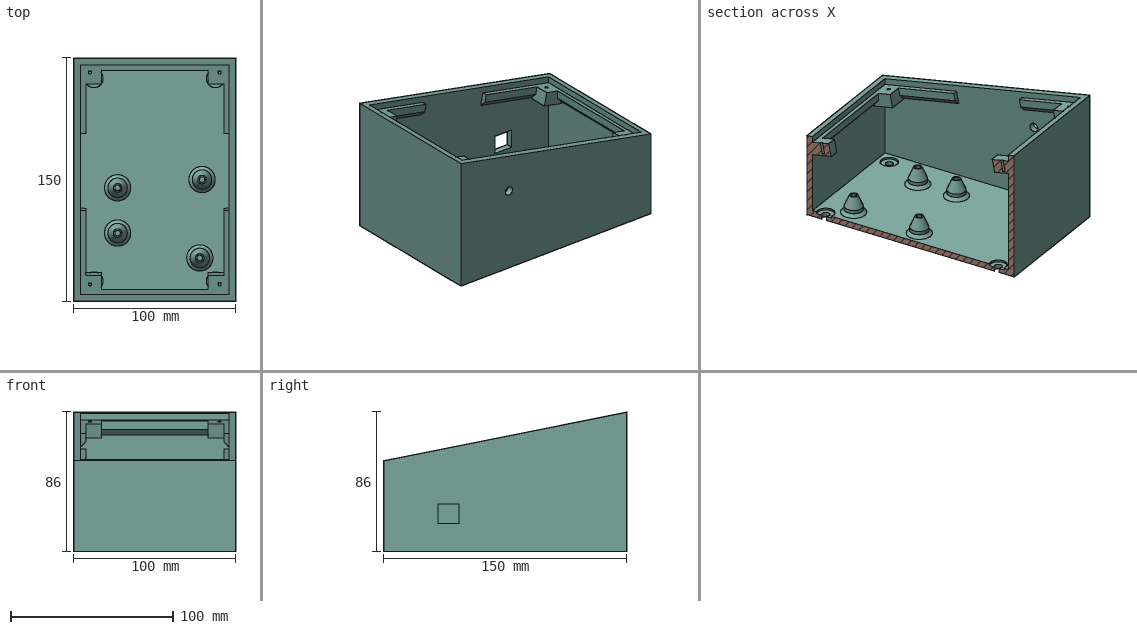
import cadquery as cq

width = 100.0
length = 150.0
rear_height = 86.0
front_height = 56.0
wall = 4.4
floor_thickness = 4.4

seat_drop = 4.0
ledge_width = 3.2
ledge_height = 5.1
ledge_taper = 3.5
side_ledge_rear_end = 29.1
side_ledge_front_end = -19.2
block_inset_x = 17.1
block_inner_end = 60.2
block_depth = 9.0
screw_hole_diameter = 2.0
screw_hole_depth = 7.5
screw_inset_x = 10.0
screw_offset = 66.6
screw_shift = 0.9

standoff_positions = [(-23.0, -5.0), (-23.0, -32.8), (29.1, 0.2), (27.8, -48.2)]
standoff_diameter = 12.0
standoff_foot = 2.1
standoff_shoulder = 4.4
standoff_height = 12.0
standoff_top_diameter = 5.2
pilot_diameter = 3.5
pilot_depth = 7.5

floor_hole_inset = 12.6
floor_hole_diameter = 5.0
counterbore_diameter = 11.2
counterbore_depth = 1.2

cable_hole_diameter = 5.5
cable_hole_y = 37.0
cable_hole_z = 54.0
port_y = -35.0
port_z = 23.4
port_length = 13.0
port_height = 12.0

slope = (rear_height - front_height) / length
mid_height = (rear_height + front_height) / 2
inner_width = width - 2 * wall
inner_length = length - 2 * wall
half_inner_width = inner_width / 2
half_inner_length = inner_length / 2
seat_plane = cq.Plane(
    origin=(0, 0, mid_height - seat_drop),
    xDir=(1, 0, 0),
    normal=(0, -slope, 1),
)


def seat_z(y):
    """Height of the lid seat at a given Y."""
    return mid_height - seat_drop + slope * y


def shell():
    """Open box with a sloped rim."""
    outline = [
        (-length / 2, 0),
        (length / 2, 0),
        (length / 2, rear_height),
        (-length / 2, front_height),
    ]
    body = cq.Workplane("YZ").polyline(outline).close().extrude(width / 2, both=True)
    cavity = (
        cq.Workplane("XY")
        .workplane(offset=floor_thickness)
        .rect(inner_width, inner_length)
        .extrude(rear_height)
    )
    return body.cut(cavity)


def ledge_section(wall_position, inward, top):
    """Ledge profile as four points: level top, upright face and an underside sloping back to the wall."""
    face = wall_position + inward * ledge_width
    return [
        (wall_position, top),
        (face, top),
        (face, top - ledge_height),
        (wall_position, top - ledge_height - ledge_taper),
    ]


def end_ledge(side):
    """Ledge across the front (side -1) or rear (side 1) wall."""
    wall_y = side * half_inner_length
    face_y = wall_y - side * ledge_width
    section = ledge_section(wall_y, -side, seat_z(face_y))
    section[0] = (wall_y, seat_z(wall_y))
    return cq.Workplane("YZ").polyline(section).close().extrude(half_inner_width, both=True)


def side_ledge(side):
    """Ledge along a side wall, with a gap whose ends are square to the slope."""

    def section_at(y):
        section = ledge_section(side * half_inner_width, -side, seat_z(y))
        return cq.Wire.makePolygon([cq.Vector(x, y, z) for x, z in section], close=True)

    ledge = cq.Solid.makeLoft([section_at(-half_inner_length), section_at(half_inner_length)], True)
    gap = (
        cq.Workplane(seat_plane)
        .center(0, (side_ledge_rear_end + side_ledge_front_end) / 2)
        .box(width, side_ledge_rear_end - side_ledge_front_end, rear_height)
    )
    return cq.Workplane(ledge).cut(gap)


def corner_blocks():
    """Four blocks square to the slope, trimmed to the inside of the walls."""
    block_x = width / 2 - block_inset_x
    size_x = half_inner_width - block_x
    size_y = length / 2 - block_inner_end
    centers = [
        (x * (block_x + size_x / 2), y * (block_inner_end + size_y / 2))
        for x in (-1, 1)
        for y in (-1, 1)
    ]
    blocks = cq.Workplane(seat_plane).pushPoints(centers).rect(size_x, size_y).extrude(-block_depth)
    inside = cq.Workplane("XY").rect(inner_width, inner_length).extrude(rear_height)
    return blocks.intersect(inside)


def seat_screw_holes():
    return (
        cq.Workplane(seat_plane)
        .center(0, screw_shift)
        .rect(width - 2 * screw_inset_x, 2 * screw_offset, forConstruction=True)
        .vertices()
        .circle(screw_hole_diameter / 2)
        .extrude(-screw_hole_depth)
    )


def standoff():
    """Standoff turned about Z, standing on Z = 0."""
    radius = standoff_diameter / 2
    pilot_radius = pilot_diameter / 2
    profile = [
        (0, 0),
        (radius + standoff_foot, 0),
        (radius, standoff_foot),
        (radius, standoff_shoulder),
        (standoff_top_diameter / 2, standoff_height),
        (pilot_radius, standoff_height),
        (pilot_radius, standoff_height - pilot_depth),
        (0, standoff_height - pilot_depth),
    ]
    return cq.Workplane("XZ").polyline(profile).close().revolve(360, (0, 0, 0), (0, 1, 0))


def floor_screw_holes():
    spots = (
        cq.Workplane("XY", origin=(0, 0, floor_thickness))
        .rect(width - 2 * floor_hole_inset, length - 2 * floor_hole_inset, forConstruction=True)
        .vertices()
    )
    counterbores = spots.circle(counterbore_diameter / 2).extrude(-counterbore_depth)
    holes = spots.circle(floor_hole_diameter / 2).extrude(-floor_thickness)
    return counterbores.union(holes)


def cable_hole():
    return (
        cq.Workplane("YZ", origin=(-width / 2, cable_hole_y, cable_hole_z))
        .circle(cable_hole_diameter / 2)
        .extrude(wall)
    )


def port_opening():
    return (
        cq.Workplane("YZ", origin=(half_inner_width, port_y, port_z))
        .rect(port_length, port_height)
        .extrude(wall)
    )


result = shell()
for side in (-1, 1):
    result = result.union(end_ledge(side)).union(side_ledge(side))
result = result.union(corner_blocks()).cut(seat_screw_holes())
for x, y in standoff_positions:
    result = result.union(standoff().translate((x, y, floor_thickness)))
result = result.cut(cable_hole()).cut(port_opening())
result = result.cut(floor_screw_holes())